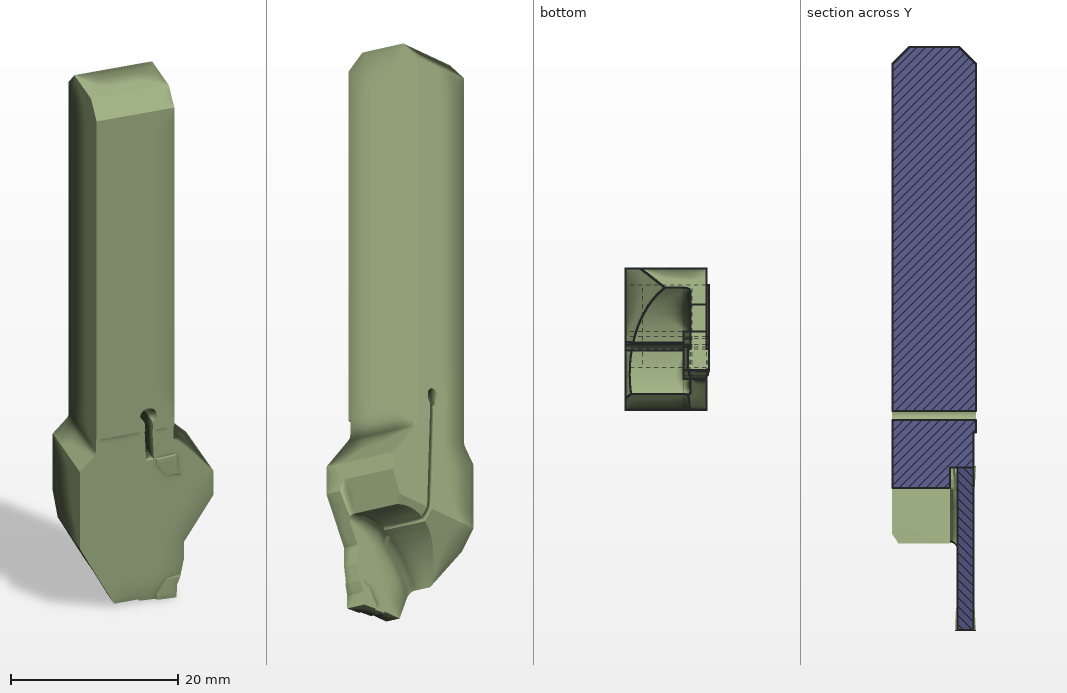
import cadquery as cq
import math


total_height = 70.0
shank_width = 10.0
shank_depth = 9.9
end_chamfer = 2.0

front_shoulder_z = 21.6
back_shoulder_z = 21.55
front_overhang = 2.0
back_overhang = 5.05
front_y = -front_overhang
back_y = shank_depth + back_overhang
front_fillet = 1.0
back_fillet = 1.25
front_slant_top_z = 8.95
front_slant_bottom_y = 2.3
holder_bottom_z = 0.5
back_slant_top_z = 13.1
back_slant_ratio = 1.55
head_relief = 0.3
head_relief_top_z = 23.8
head_right_x = shank_width - head_relief

bevel_top_z = 11.6
bevel_ratio = 1.52

blade_thickness = 1.95
blade_left_x = head_right_x - blade_thickness
arc_center_y = 10.65
arc_center_z = -0.7
arc_radius = 11.55
back_cut_top_z = 14.4
back_cut_bottom_y = 13.0
blade_fillet = 0.85

slot_hole_y = 6.6
slot_hole_z = 25.8
slot_hole_radius = 1.05
slot_width = 1.0
slot_tilt = 2.8
slot_length = 16.8

insert_length = 19.75
insert_front_y = 5.5
insert_back_y = 11.2
tip_y = 10.15
end_clearance = 0.3
rake_points = [(10.2, 1.6), (10.8, 2.95), (insert_back_y, 5.05)]
tip_overhang = head_relief
tip_neck_overhang = 0.15
tip_neck_top_z = 3.1
tip_neck_z = 2.65
tip_land_z = 0.55
tip_flank_points = [(7.6, 0.8), (8.95, tip_neck_z), (insert_back_y, 3.15)]
pocket_left_x = blade_left_x - blade_fillet


def extrude_yz(points, left_x, right_x):
    """Prism with a polygon in the YZ plane, from left_x to right_x."""
    return cq.Workplane("YZ", origin=(left_x, 0, 0)).polyline(points).close().extrude(right_x - left_x)


def extrude_xz(points, start_y, end_y):
    """Prism with a polygon in the XZ plane, from start_y to end_y."""
    return cq.Workplane("XZ", origin=(0, end_y, 0)).polyline(points).close().extrude(end_y - start_y)


def holder_blank():
    """Side outline of shank and head, with the shoulder corners rounded."""
    front_slant_bottom = (front_slant_bottom_y, holder_bottom_z)
    back_slant_bottom_y = back_y - (back_slant_top_z - holder_bottom_z) / back_slant_ratio
    blank = extrude_yz(
        [
            (0, total_height),
            (0, front_shoulder_z),
            (front_y, front_shoulder_z - front_overhang),
            (front_y, front_slant_top_z),
            front_slant_bottom,
            (back_slant_bottom_y, holder_bottom_z),
            (back_y, back_slant_top_z),
            (back_y, back_shoulder_z - back_overhang),
            (shank_depth, back_shoulder_z),
            (shank_depth, total_height),
        ],
        0,
        shank_width,
    )
    shoulders = (
        (0, front_shoulder_z, front_fillet),
        (shank_depth, back_shoulder_z, back_fillet),
    )
    for corner_y, corner_z, radius in shoulders:
        corner = cq.selectors.NearestToPointSelector((shank_width / 2, corner_y, corner_z))
        blank = blank.edges("|X").edges(corner).fillet(radius)
    return blank.faces(">Z").edges("|Y").chamfer(end_chamfer)


def head_relief_cut():
    """Slab that sets the head back from the shank's +X side."""
    return cq.Workplane("XY").box(head_relief, back_y - front_y, head_relief_top_z, centered=False).translate(
        (head_right_x, front_y, 0)
    )


def bevel_cut():
    """Wedge below the sloping left side of the head."""
    return extrude_xz(
        [(0, 0), (0, bevel_top_z), (bevel_top_z / bevel_ratio, 0)],
        front_y,
        back_y,
    )


def blade_cut():
    """Space left of the blade, under the arc, with a rounded edge along the blade face."""
    wall_bottom_z = arc_center_z + math.sqrt(arc_radius**2 - (back_cut_bottom_y - arc_center_y) ** 2)
    arc_middle = arc_radius * math.sqrt(0.5)
    cut = (
        cq.Workplane("YZ", origin=(-shank_width, 0, 0))
        .moveTo(arc_center_y - arc_radius, arc_center_z)
        .threePointArc(
            (arc_center_y - arc_middle, arc_center_z + arc_middle),
            (back_cut_bottom_y, wall_bottom_z),
        )
        .lineTo(back_y, back_cut_top_z)
        .lineTo(2 * back_y, back_cut_top_z)
        .lineTo(2 * back_y, -arc_radius)
        .lineTo(arc_center_y - arc_radius, -arc_radius)
        .close()
        .extrude(shank_width + blade_left_x)
    )
    return cut.faces(">X").edges("not(|Y or |Z)").fillet(blade_fillet)


def slot_cut():
    """Round hole and the tilted slot that runs from it down to the insert."""
    hole = cq.Workplane("YZ").circle(slot_hole_radius).extrude(shank_width)
    slit = cq.Workplane("XY").box(
        shank_width, slot_width, slot_length, centered=(False, True, False)
    ).translate((0, 0, -slot_length))
    slit = slit.rotate((0, 0, 0), (1, 0, 0), slot_tilt)
    return hole.union(slit).translate((0, slot_hole_y, slot_hole_z))


def insert_outline():
    """YZ points of the insert: lower end from front to back, then the mirrored upper end."""
    lower = [(insert_front_y, end_clearance), (tip_y, 0), *rake_points]
    upper = [(y, insert_length - z) for y, z in reversed(lower)]
    return lower + upper


def lower_tip():
    """Wider cutting head at the lower end, with sides that widen toward the tip."""
    left_x = blade_left_x
    right_x = head_right_x
    widening = extrude_xz(
        [
            (left_x - tip_overhang, 0),
            (left_x - tip_overhang, tip_land_z),
            (left_x - tip_neck_overhang, tip_neck_z),
            (left_x, tip_neck_top_z),
            (right_x, tip_neck_top_z),
            (right_x + tip_neck_overhang, tip_neck_z),
            (right_x + tip_overhang, tip_land_z),
            (right_x + tip_overhang, 0),
        ],
        insert_front_y,
        insert_back_y,
    )
    flank_start = (tip_flank_points[0][0], 0)
    flank = extrude_yz(
        [flank_start, *tip_flank_points, (insert_back_y, 0)],
        left_x - tip_overhang,
        right_x + tip_overhang,
    )
    profile = extrude_yz(insert_outline(), left_x - tip_overhang, right_x + tip_overhang)
    return widening.intersect(flank).intersect(profile)


def make_insert():
    body = extrude_yz(insert_outline(), blade_left_x, head_right_x)
    tip = lower_tip()
    upper_tip = tip.mirror("XY", (0, 0, insert_length / 2))
    return body.union(tip).union(upper_tip)


def make_holder():
    pocket = extrude_yz(insert_outline(), pocket_left_x, shank_width)
    holder = holder_blank().cut(head_relief_cut()).cut(bevel_cut())
    return holder.cut(blade_cut()).cut(slot_cut()).cut(pocket)


holder = make_holder()
insert = make_insert()

result = cq.Compound.makeCompound([holder.val(), insert.val()])